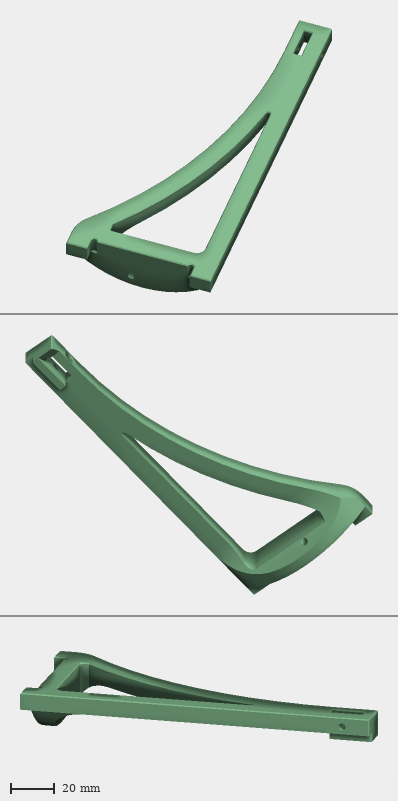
import cadquery as cq
import math

length = 165.0
width = 70.0
plate_thickness = 8.0
edge_chamfer = 0.5
wall = 8.9

tip_width = 16.0
tip_length = 20.0
side_radius = 186.8
corner_radius = 15.0
tip_x = width - tip_width
tip_y = length - tip_length
side_center_x = tip_x - side_radius

leg_width = 10.0
leg_height = 5.3
relief_radius = 1.5

window_left_x = 16.2
window_apex_radius = 1.07
window_left_radius = 1.0
window_right_radius = 4.3

foot_drop = 15.2
foot_length = 24.5
foot_cove_radius = 20.0
foot_hole_diameter = 3.3
foot_hole_x = 29.7
foot_hole_z = -9.4

lip_drop = 4.0
rib_thickness = 3.5
gusset_length = 5.3
slot_width = 4.0
slot_length = 14.5
slot_x = 60.2
slot_y = 152.1
cross_hole_diameter = 3.3
countersink_diameter = 6.6
cross_hole_y = slot_y
cross_hole_z = 3.5


def box(x_range, y_range, z_range):
    """Axis-aligned block spanning the given ranges."""
    sizes = [high - low for low, high in (x_range, y_range, z_range)]
    corner = (x_range[0], y_range[0], z_range[0])
    return cq.Workplane("XY").box(*sizes, centered=False).translate(corner)


def outline(bottom, top):
    """Plan outline of the bracket, extruded between two heights."""
    reach_x = corner_radius - side_center_x
    reach = side_radius + corner_radius
    corner_center_y = tip_y - math.sqrt(reach**2 - reach_x**2)
    corner_center = cq.Vector(corner_radius, corner_center_y)
    side_center = cq.Vector(side_center_x, tip_y)
    join = corner_center + (side_center - corner_center) * (corner_radius / reach)

    half_turn = math.asin((tip_y - join.y) / side_radius) / 2
    side_middle = (
        side_center_x + side_radius * math.cos(half_turn),
        tip_y - side_radius * math.sin(half_turn),
    )
    corner_turn = math.atan2(join.y - corner_center_y, corner_radius - join.x) / 2
    corner_middle = (
        corner_radius * (1 - math.cos(corner_turn)),
        corner_center_y + corner_radius * math.sin(corner_turn),
    )
    return (
        cq.Workplane("XY", origin=(0, 0, bottom))
        .lineTo(leg_width, 0)
        .lineTo(leg_width, leg_height)
        .lineTo(width - leg_width, leg_height)
        .lineTo(width - leg_width, 0)
        .lineTo(width, 0)
        .lineTo(width, length)
        .lineTo(tip_x, length)
        .lineTo(tip_x, tip_y)
        .threePointArc(side_middle, (join.x, join.y))
        .threePointArc(corner_middle, (0, corner_center_y))
        .close()
        .extrude(top - bottom)
    )


def window():
    """Opening that leaves an even wall along the curved side, with a short left edge."""
    inner_radius = side_radius + wall
    right_x = width - wall
    bottom_y = leg_height + wall

    def inner_arc_y(x):
        return tip_y - math.sqrt(inner_radius**2 - (x - side_center_x) ** 2)

    left_top_y = inner_arc_y(window_left_x)
    apex_y = inner_arc_y(right_x)
    middle_x = (window_left_x + right_x) / 2
    opening = (
        cq.Workplane("XY", origin=(0, 0, -foot_drop))
        .moveTo(window_left_x, bottom_y)
        .lineTo(right_x, bottom_y)
        .lineTo(right_x, apex_y)
        .threePointArc((middle_x, inner_arc_y(middle_x)), (window_left_x, left_top_y))
        .close()
        .extrude(foot_drop + plate_thickness)
    )
    corners = (
        (window_left_x, bottom_y, window_left_radius),
        (right_x, bottom_y, window_right_radius),
        (right_x, apex_y, window_apex_radius),
    )
    for x, y, radius in corners:
        corner_edge = cq.selectors.NearestToPointSelector((x, y, 0))
        opening = opening.edges("|Z").edges(corner_edge).fillet(radius)
    return opening


def notch_reliefs():
    """Round grooves in the plate beside both legs."""
    inset = leg_width + relief_radius
    return (
        cq.Workplane("XY")
        .pushPoints([(inset, leg_height), (width - inset, leg_height)])
        .circle(relief_radius)
        .extrude(plate_thickness)
    )


def foot():
    """Circular segment below the base, hollowed behind by a cove."""
    foot_end = leg_height + foot_length
    segment = (
        cq.Workplane("XZ", origin=(0, leg_height, 0))
        .threePointArc((width / 2, -foot_drop), (width, 0))
        .close()
        .extrude(-foot_length)
    )
    cove = (
        cq.Workplane("YZ")
        .center(foot_end, -foot_cove_radius)
        .circle(foot_cove_radius)
        .extrude(width)
    )
    hole = (
        cq.Workplane("XZ", origin=(0, leg_height, 0))
        .center(foot_hole_x, foot_hole_z)
        .circle(foot_hole_diameter / 2)
        .extrude(-foot_length)
    )
    return segment.intersect(outline(-foot_drop, 0)).cut(cove).cut(hole)


def tip_lip():
    """Rib beside the slot, joined to the left face by a sloped gusset at the tip's end."""
    rib_start = slot_x + slot_width / 2
    rib_end = rib_start + rib_thickness
    rib = box((rib_start, rib_end), (tip_y, length), (-lip_drop, 0))
    gusset = (
        cq.Workplane("YZ", origin=(tip_x, 0, 0))
        .polyline([(length, -lip_drop), (length, 0), (length - gusset_length, 0)])
        .close()
        .extrude(rib_end - tip_x)
    )
    return rib.union(gusset)


def tip_slot():
    """Upright slot through the tip."""
    return box(
        (slot_x - slot_width / 2, slot_x + slot_width / 2),
        (slot_y - slot_length / 2, slot_y + slot_length / 2),
        (-lip_drop, plate_thickness),
    )


def cross_hole():
    """Hole across the tip with a 90 degree countersink on the left face."""
    drill = (
        cq.Workplane("YZ", origin=(tip_x, cross_hole_y, cross_hole_z))
        .circle(cross_hole_diameter / 2)
        .extrude(tip_width)
    )
    countersink = cq.Solid.makeCone(
        countersink_diameter / 2,
        cross_hole_diameter / 2,
        (countersink_diameter - cross_hole_diameter) / 2,
        pnt=cq.Vector(tip_x, cross_hole_y, cross_hole_z),
        dir=cq.Vector(1, 0, 0),
    )
    return drill.union(cq.Workplane(countersink))


body = outline(0, plate_thickness).cut(notch_reliefs())
body = body.union(foot()).union(tip_lip())
body = body.cut(window()).cut(tip_slot())
body = body.faces(">Z").edges().chamfer(edge_chamfer)
body = body.faces(">Y").edges("|Z").chamfer(edge_chamfer)
result = body.cut(cross_hole())